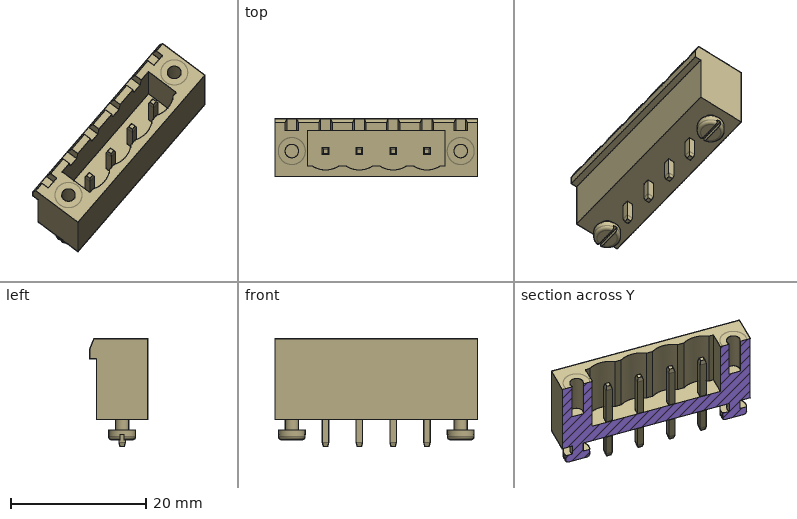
import cadquery as cq

housing_length = 30.0
housing_width = 7.6
housing_height = 12.0
half_width = housing_width / 2

lip_overhang = 1.0
lip_height = 3.0
lip_bevel_depth = 0.6
lip_bevel_height = 1.5

pitch = 5.0
pin_count = 4
pin_positions = [(i - (pin_count - 1) / 2) * pitch for i in range(pin_count)]

cavity_length = 20.4
cavity_back_y = 3.05
cavity_front_y = -2.2
cavity_floor_z = 3.0
scallop_chord = 4.0
scallop_rise = 0.6

notch_count = pin_count + 2
notch_positions = [(i - (notch_count - 1) / 2) * pitch for i in range(notch_count)]
notch_top_width = 2.0
notch_bottom_width = 1.45
notch_depth = 1.5

pin_width = 1.0
pin_tip_width = 0.65
pin_taper_length = 0.65
pin_bottom_z = -4.0
pin_top_z = 10.0

insert_positions = [notch_positions[0], notch_positions[-1]]
insert_diameter = 4.0
insert_bore_diameter = 2.0
insert_bore_depth = 6.0
screw_shank_diameter = 2.0
screw_head_diameter = 4.0
screw_head_top_z = -1.5
screw_head_height = 1.5
screw_head_fillet = 0.5
screw_slot_width = 0.6
screw_slot_depth = 0.8


def make_housing():
    """Block with the bevelled lip, extruded along X from its YZ profile."""
    lip_y = half_width + lip_overhang
    profile = [
        (-half_width, 0),
        (half_width, 0),
        (half_width, housing_height - lip_height),
        (lip_y, housing_height - lip_height),
        (lip_y, housing_height - lip_bevel_height),
        (lip_y - lip_bevel_depth, housing_height),
        (-half_width, housing_height),
    ]
    return cq.Workplane("YZ").polyline(profile).close().extrude(housing_length / 2, both=True)


def make_cavity():
    """Plug space open at the top, bulging toward -Y opposite every pin."""
    half_length = cavity_length / 2
    half_chord = scallop_chord / 2
    outline = (
        cq.Workplane("XY", origin=(0, 0, cavity_floor_z))
        .moveTo(half_length, cavity_back_y)
        .lineTo(-half_length, cavity_back_y)
        .lineTo(-half_length, cavity_front_y)
    )
    for x in pin_positions:
        outline = outline.lineTo(x - half_chord, cavity_front_y).threePointArc(
            (x, cavity_front_y - scallop_rise), (x + half_chord, cavity_front_y)
        )
    outline = outline.lineTo(half_length, cavity_front_y).close()
    return outline.extrude(housing_height - cavity_floor_z)


def make_notch(x):
    """Trapezoidal notch running from the cavity wall out through the lip."""
    notch_floor_z = housing_height - notch_depth
    profile = [
        (x - notch_top_width / 2, housing_height),
        (x - notch_bottom_width / 2, notch_floor_z),
        (x + notch_bottom_width / 2, notch_floor_z),
        (x + notch_top_width / 2, housing_height),
    ]
    notch_length = half_width + lip_overhang - cavity_back_y
    plane = cq.Workplane("XZ", origin=(0, cavity_back_y, 0))
    return plane.polyline(profile).close().extrude(-notch_length)


def make_pin(x):
    """Square pin through the cavity floor, tapered at both ends."""
    shaft_bottom_z = pin_bottom_z + pin_taper_length
    shaft_top_z = pin_top_z - pin_taper_length
    pin = (
        cq.Workplane("XY", origin=(x, 0, shaft_bottom_z))
        .rect(pin_width, pin_width)
        .extrude(shaft_top_z - shaft_bottom_z)
    )
    for shaft_end_z, taper in ((shaft_top_z, pin_taper_length), (shaft_bottom_z, -pin_taper_length)):
        tip = (
            cq.Workplane("XY", origin=(x, 0, shaft_end_z))
            .rect(pin_width, pin_width)
            .workplane(offset=taper)
            .rect(pin_tip_width, pin_tip_width)
            .loft(ruled=True)
        )
        pin = pin.union(tip)
    return pin


def make_insert_pocket(x):
    """Hole in the housing that the insert fills."""
    bottom = cq.Workplane("XY", origin=(x, 0, housing_height - insert_bore_depth))
    return bottom.circle(insert_diameter / 2).extrude(insert_bore_depth)


def make_insert(x):
    """Bored sleeve flush with the housing top."""
    bore_radius = insert_bore_diameter / 2
    bottom = cq.Workplane("XY", origin=(x, 0, housing_height - insert_bore_depth))
    return bottom.circle(insert_diameter / 2).circle(bore_radius).extrude(insert_bore_depth)


def make_screw(x):
    """Screw under the housing, its head slotted along X."""
    head_bottom_z = screw_head_top_z - screw_head_height
    head = (
        cq.Workplane("XY", origin=(x, 0, head_bottom_z))
        .circle(screw_head_diameter / 2)
        .extrude(screw_head_height)
        .faces("<Z")
        .edges()
        .fillet(screw_head_fillet)
    )
    slot = cq.Workplane("XY", origin=(x, 0, head_bottom_z)).box(
        screw_head_diameter, screw_slot_width, screw_slot_depth, centered=(True, True, False)
    )
    shank = (
        cq.Workplane("XY", origin=(x, 0, screw_head_top_z))
        .circle(screw_shank_diameter / 2)
        .extrude(-screw_head_top_z)
    )
    return head.cut(slot).union(shank)


result = make_housing().cut(make_cavity())
for notch_x in notch_positions:
    result = result.cut(make_notch(notch_x))
for pin_x in pin_positions:
    result = result.union(make_pin(pin_x))
for insert_x in insert_positions:
    result = result.cut(make_insert_pocket(insert_x), clean=False)
    result = result.union(make_insert(insert_x), clean=False)
    result = result.union(make_screw(insert_x), clean=False)